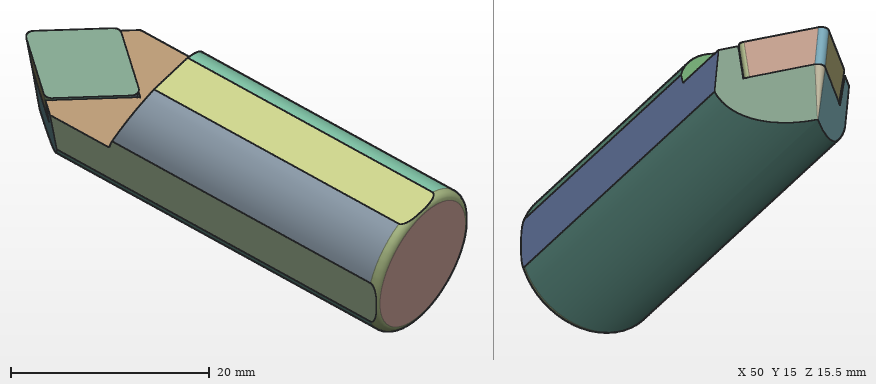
import cadquery as cq
import math

length = 50.0
shank_radius = 8.0
flat_offset = 7.5
end_round = 0.9

shelf_z = 1.65
shoulder_x = 16.0
shoulder_lean = 20.0

insert_top_z = 2.0
insert_thickness = 3.95
insert_width = 9.5
half_point_angle = 40.0
clearance_angle = 7.0
corner_radius = 0.8

half_point = math.radians(half_point_angle)
relief = math.tan(math.radians(clearance_angle))
insert_bottom_z = insert_top_z - insert_thickness
half_long = insert_width / 2 / math.sin(half_point)
half_short = insert_width / 2 / math.cos(half_point)
half_dihedral = math.acos(math.cos(half_point) * math.cos(math.radians(clearance_angle)))
tip_edge_lean = math.atan(relief / math.sin(half_point))
corner_setback = corner_radius * (1 / math.sin(half_dihedral) - 1) / math.cos(tip_edge_lean)
insert_center_x = half_long - corner_setback
seat_tip_x = insert_center_x - half_long + insert_thickness * relief / math.sin(half_point)


def sharp_insert():
    """Rhombic prism with relieved flanks and sharp corners, largest at the top."""
    rhombus = [(-half_long, 0), (0, -half_short), (half_long, 0), (0, half_short)]
    return (
        cq.Workplane("XY")
        .polyline(rhombus)
        .close()
        .extrude(-insert_thickness, taper=clearance_angle)
        .translate((insert_center_x, 0, insert_top_z))
    )


def make_insert():
    """Cutting insert: the rhombic prism with its four upright corners rounded."""
    return sharp_insert().edges("not #Z").fillet(corner_radius)


def make_shank():
    """Round bar with flats on the top and both sides and a rounded rear end."""
    bar = cq.Workplane("YZ").circle(shank_radius).extrude(length)
    bar = bar.faces(">X").edges().fillet(end_round)
    flats = cq.Workplane("XY").box(
        length, 2 * flat_offset, flat_offset + shank_radius, centered=(False, True, False)
    )
    return bar.intersect(flats.translate((0, 0, -shank_radius)))


def step_cutter():
    """Space above the shelf, bounded at the rear by the leaning shoulder."""
    shoulder_top_x = shoulder_x + (flat_offset - shelf_z) * math.tan(math.radians(shoulder_lean))
    return (
        cq.Workplane("XZ")
        .polyline([(0, shelf_z), (shoulder_x, shelf_z), (shoulder_top_x, flat_offset), (0, flat_offset)])
        .close()
        .extrude(flat_offset, both=True)
    )


def nose_envelope():
    """Wedge with a rounded tip at the insert seat and flanks that recede downwards."""
    half_width = 2 * shank_radius
    wedge_length = half_width / math.tan(half_point)
    rear_x = 2 * length
    outline = (
        cq.Sketch()
        .polygon([
            (seat_tip_x, 0),
            (seat_tip_x + wedge_length, -half_width),
            (rear_x, -half_width),
            (rear_x, half_width),
            (seat_tip_x + wedge_length, half_width),
            (seat_tip_x, 0),
        ])
        .vertices("<X")
        .fillet(corner_radius)
    )
    seat = cq.Workplane("XY", origin=(0, 0, insert_bottom_z)).placeSketch(outline)
    lower = seat.extrude(-(shank_radius + insert_bottom_z), taper=clearance_angle)
    upper = seat.extrude(flat_offset - insert_bottom_z, taper=-clearance_angle)
    return lower.union(upper)


def make_holder():
    """Shank with the step, the relieved nose and a sharp-cornered seat for the insert."""
    return make_shank().cut(step_cutter()).intersect(nose_envelope()).cut(sharp_insert())


holder = make_holder()
insert = make_insert()

result = cq.Compound.makeCompound([holder.solids().val(), insert.solids().val()])